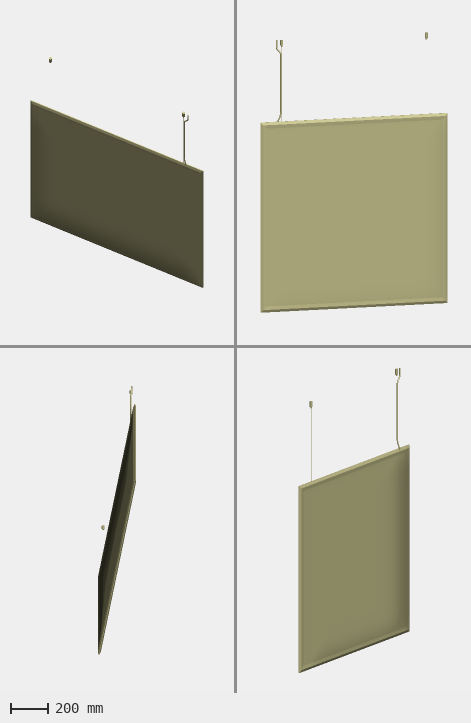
import cadquery as cq

panel_side = 1037.0
panel_y = 0.7
total_height = 1481.0

rim_thickness = 4.1
ridge_inset = 15.0
ridge_rise = 6.0
opening_inset = 34.0
opening_drop = 2.4
ridge_thickness = rim_thickness + 2 * ridge_rise
diffuser_thickness = ridge_thickness - 2 * opening_drop
opening_side = panel_side - 2 * opening_inset

wire_spacing = 801.0
wire_y = 1.0
wire_diameter = 1.2
wire_depth_in_rim = 7.0
gripper_diameter = 16.0
gripper_length = 30.0
nose_length = 9.0
nose_top_diameter = 10.0
nose_tip_diameter = 6.0
wire_top = total_height - gripper_length - nose_length

cable_diameter = 7.0
cable_run_x = 405.0
cable_run_y = -1.0
cable_tail_x = 428.0
cable_entry_x = 422.0
cable_entry_y = -6.0
cable_entry_z = panel_side - 9.0
lower_bend_z = panel_side + 58.0
upper_bend_z = total_height - 85.0
tail_bottom_z = total_height - 35.0


def square_frustum(near_side, near_y, far_side, far_y):
    """Loft between two squares centred on the panel, each at a Y measured from the mid-plane."""
    return (
        cq.Workplane("XZ", origin=(0, panel_y + near_y, panel_side / 2))
        .rect(near_side, near_side)
        .workplane(offset=near_y - far_y)
        .rect(far_side, far_side)
        .loft(ruled=True)
    )


def make_diffuser():
    """Flat plate filling the frame opening from front to back."""
    return cq.Workplane("XY", origin=(0, panel_y, panel_side / 2)).box(
        opening_side, diffuser_thickness, opening_side
    )


def make_frame():
    """Square frame with the same slopes on its front and back; the opening is cut by the diffuser."""
    ridge_side = panel_side - 2 * ridge_inset
    frame = cq.Workplane("XY", origin=(0, panel_y, panel_side / 2)).box(panel_side, rim_thickness, panel_side)
    for face in (-1, 1):
        rim_y = face * rim_thickness / 2
        ridge_y = face * ridge_thickness / 2
        opening_y = face * diffuser_thickness / 2
        frame = frame.union(square_frustum(panel_side, rim_y, ridge_side, ridge_y))
        frame = frame.cut(square_frustum(opening_side, opening_y, ridge_side, ridge_y))
    return frame


def make_wire(x):
    bottom = panel_side - wire_depth_in_rim
    return (
        cq.Workplane("XY", origin=(x, wire_y, bottom))
        .circle(wire_diameter / 2)
        .extrude(wire_top - bottom)
    )


def make_gripper(x):
    """Cylinder with a tapered nose below it, its tip resting on the end of the wire."""
    profile = [
        (0, wire_top),
        (nose_tip_diameter / 2, wire_top),
        (nose_top_diameter / 2, wire_top + nose_length),
        (gripper_diameter / 2, wire_top + nose_length),
        (gripper_diameter / 2, total_height),
        (0, total_height),
    ]
    outline = cq.Workplane("XZ").polyline(profile).close()
    return outline.revolve(360, (0, 0), (0, 1)).translate((x, wire_y, 0))


def make_cable():
    """Round cable swept from its top end down to the point where it enters the frame."""
    top = cq.Vector(cable_tail_x, cable_run_y, total_height)
    tail_bottom = cq.Vector(cable_tail_x, cable_run_y, tail_bottom_z)
    run_top = cq.Vector(cable_run_x, cable_run_y, upper_bend_z)
    run_bottom = cq.Vector(cable_run_x, cable_run_y, lower_bend_z)
    entry = cq.Vector(cable_entry_x, cable_entry_y, cable_entry_z)
    down = cq.Vector(0, 0, -1)
    path = cq.Wire.assembleEdges(
        [
            cq.Edge.makeLine(top, tail_bottom),
            cq.Edge.makeSpline([tail_bottom, run_top], tangents=[down, down]),
            cq.Edge.makeLine(run_top, run_bottom),
            cq.Edge.makeSpline([run_bottom, entry], tangents=[down, entry - run_bottom]),
        ]
    )
    return cq.Workplane("XY", origin=top.toTuple()).circle(cable_diameter / 2).sweep(path)


frame = make_frame()
diffuser = make_diffuser()
cable = make_cable()
wires = []
grippers = []
for side in (-1, 1):
    wires.append(make_wire(side * wire_spacing / 2))
    grippers.append(make_gripper(side * wire_spacing / 2))
for body in [diffuser, *wires, cable]:
    frame = frame.cut(body)

bodies = [frame, diffuser, *wires, *grippers, cable]
result = cq.Compound.makeCompound([body.val() for body in bodies])